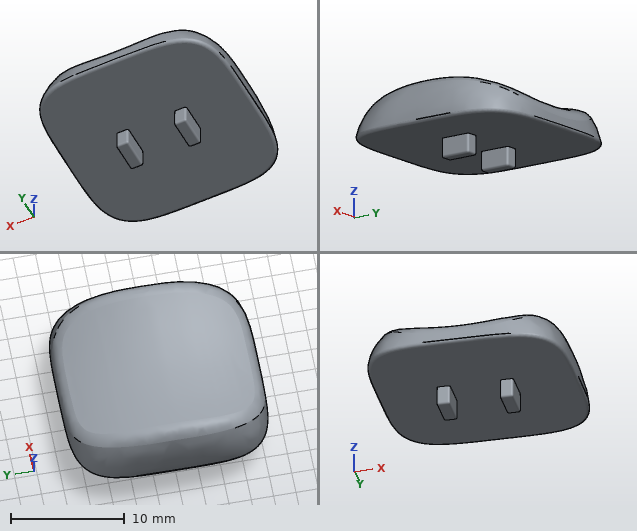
import cadquery as cq
import math

BASE_HALF_WIDTH = 8.985
BASE_SQUARENESS = 4.36
SQUARENESS_LOSS = 0.45
OUTLINE_POINTS = 48

SKIRT_HEIGHT = 0.33
WALL_RADIUS = 6.1
WALL_LOFT_HEIGHT = 4.6
WALL_SECTIONS = 6
BASE_FILLET = 0.3

TOP_CENTER_HEIGHT = 3.56
DISH_RADIUS = 30.0
CROWN_RADIUS = 23.5
RIM_FILLET = 1.35
SADDLE_HALF_LENGTH = 12.0

LEG_SPACING = 5.7
LEG_WIDTH = 1.2
LEG_DEPTH = 3.0
LEG_LENGTH = 1.78
LEG_FILLET = 0.2
LEG_OVERLAP = 0.5


def outline(height):
    """Closed cap outline at a height above the skirt."""
    inset = WALL_RADIUS - math.sqrt(WALL_RADIUS**2 - height**2)
    half_width = BASE_HALF_WIDTH - inset
    exponent = BASE_SQUARENESS - SQUARENESS_LOSS * height
    points = []
    for i in range(OUTLINE_POINTS):
        angle = 2 * math.pi * i / OUTLINE_POINTS
        c = math.cos(angle)
        s = math.sin(angle)
        reach = half_width * (abs(c) ** exponent + abs(s) ** exponent) ** (-1 / exponent)
        points.append(cq.Vector(reach * c, reach * s, SKIRT_HEIGHT + height))
    return cq.Wire.assembleEdges([cq.Edge.makeSpline(points, periodic=True)])


def wall_body():
    """Solid bounded by the leaning side wall, above the skirt."""
    step = WALL_LOFT_HEIGHT / (WALL_SECTIONS - 1)
    sections = [outline(i * step) for i in range(WALL_SECTIONS)]
    return cq.Workplane(cq.Solid.makeLoft(sections))


def saddle_body():
    """Barrel about an axis along X whose hollow flank forms the top of the cap."""
    axis_height = TOP_CENTER_HEIGHT - CROWN_RADIUS
    dish_rise = DISH_RADIUS - math.sqrt(DISH_RADIUS**2 - SADDLE_HALF_LENGTH**2)
    end_height = TOP_CENTER_HEIGHT + dish_rise
    return (
        cq.Workplane("XZ")
        .moveTo(-SADDLE_HALF_LENGTH, axis_height)
        .lineTo(-SADDLE_HALF_LENGTH, end_height)
        .threePointArc((0, TOP_CENTER_HEIGHT), (SADDLE_HALF_LENGTH, end_height))
        .lineTo(SADDLE_HALF_LENGTH, axis_height)
        .close()
        .revolve(360, (0, axis_height), (1, axis_height))
    )


def skirt():
    """Upright band at the foot of the wall with a rounded lower edge."""
    base = cq.Solid.extrudeLinear(outline(0), [], cq.Vector(0, 0, -SKIRT_HEIGHT))
    return cq.Workplane(base).faces("<Z").edges().fillet(BASE_FILLET)


def legs():
    """Pair of rectangular legs, rounded on their upright and lower edges."""
    height = LEG_LENGTH + LEG_OVERLAP
    return (
        cq.Workplane("XY")
        .workplane(offset=-LEG_LENGTH)
        .pushPoints([(-LEG_SPACING / 2, 0), (LEG_SPACING / 2, 0)])
        .rect(LEG_WIDTH, LEG_DEPTH)
        .extrude(height)
        .edges("|Z or <Z")
        .fillet(LEG_FILLET)
    )


def dome():
    """Cap above the skirt, with the dished top and its rounded rim."""
    body = wall_body().intersect(saddle_body())
    return body.faces(">Z").edges().fillet(RIM_FILLET)


result = dome().union(skirt()).union(legs())